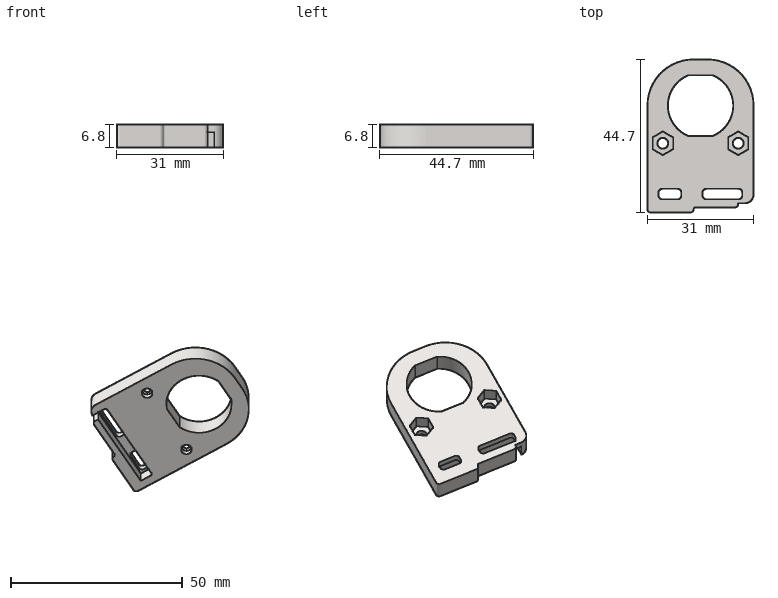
import cadquery as cq

width = 31.0
length = 44.65
height = 6.8
half_width = width / 2
top_radius = 13.5
edge_radius = 1.0

first_step_x = -1.95
first_step_y = 1.47
first_step_fillet = first_step_y - edge_radius
second_step_x = 11.0
second_step_y = 2.7
right_corner_radius = 2.7

opening_diameter = 18.98
opening_flats = 17.6
opening_y = length - top_radius

bolt_x = 11.0
bolt_y = 20.2
bolt_diameter = 3.1
nut_corner_diameter = 6.88
nut_floor_z = 2.0

slot_front = 3.95
slot_back = 6.88
slot_radius = 1.0
slot_ends = [(-12.2, -5.63), (0.63, 12.1)]

pocket_depth = 4.4
pocket_side_margin = 0.8
pocket_end_margin = 0.5
pocket_radius = 0.55
pocket_left = slot_ends[0][0] - pocket_side_margin
pocket_right = slot_ends[1][1] + pocket_side_margin
pocket_front = slot_front - pocket_end_margin
pocket_back = slot_back + pocket_end_margin


def box_between(x_min, x_max, y_min, y_max, depth):
    """Block standing on the underside plane."""
    block = cq.Workplane("XY").box(x_max - x_min, y_max - y_min, depth, centered=False)
    return block.translate((x_min, y_min, 0))


def round_corner(body, x, y, radius):
    """Round the vertical edge at the given corner."""
    selector = cq.selectors.BoxSelector(
        (x - 0.05, y - 0.05, 0), (x + 0.05, y + 0.05, height)
    )
    return body.edges("|Z").edges(selector).fillet(radius)


def make_plate():
    body = (
        cq.Workplane("XY")
        .moveTo(-half_width, 0)
        .lineTo(first_step_x - edge_radius, 0)
        .tangentArcPoint((first_step_x, edge_radius), relative=False)
        .tangentArcPoint((first_step_x + first_step_fillet, first_step_y), relative=False)
        .lineTo(second_step_x, first_step_y)
        .lineTo(second_step_x, second_step_y)
        .lineTo(half_width, second_step_y)
        .lineTo(half_width, length)
        .lineTo(-half_width, length)
        .close()
        .extrude(height)
    )
    corners = [
        (-half_width, 0, edge_radius),
        (second_step_x, first_step_y, edge_radius),
        (half_width, second_step_y, right_corner_radius),
        (half_width, length, top_radius),
        (-half_width, length, top_radius),
    ]
    for x, y, radius in corners:
        body = round_corner(body, x, y, radius)
    return body


def make_opening():
    cylinder = cq.Workplane("XY").circle(opening_diameter / 2).extrude(height)
    flats = cq.Workplane("XY").rect(opening_diameter, opening_flats).extrude(height)
    return cylinder.intersect(flats).translate((0, opening_y, 0))


def make_bolt_seat(x):
    hole = cq.Workplane("XY").circle(bolt_diameter / 2).extrude(height)
    recess = (
        cq.Workplane("XY", origin=(0, 0, nut_floor_z))
        .transformed(rotate=(0, 0, 90))
        .polygon(6, nut_corner_diameter)
        .extrude(height - nut_floor_z)
    )
    return hole.union(recess).translate((x, bolt_y, 0))


def make_pocket():
    cavity = box_between(pocket_left, pocket_right, pocket_front, pocket_back, pocket_depth)
    mouth = box_between(second_step_x, pocket_right, 0, pocket_back, pocket_depth)
    return cavity.union(mouth).edges("|Z and >Y").fillet(pocket_radius)


result = make_plate().cut(make_opening()).cut(make_pocket())
for seat_x in (-bolt_x, bolt_x):
    result = result.cut(make_bolt_seat(seat_x))
for slot_left, slot_right in slot_ends:
    slot = box_between(slot_left, slot_right, slot_front, slot_back, height)
    result = result.cut(slot.edges("|Z").fillet(slot_radius))